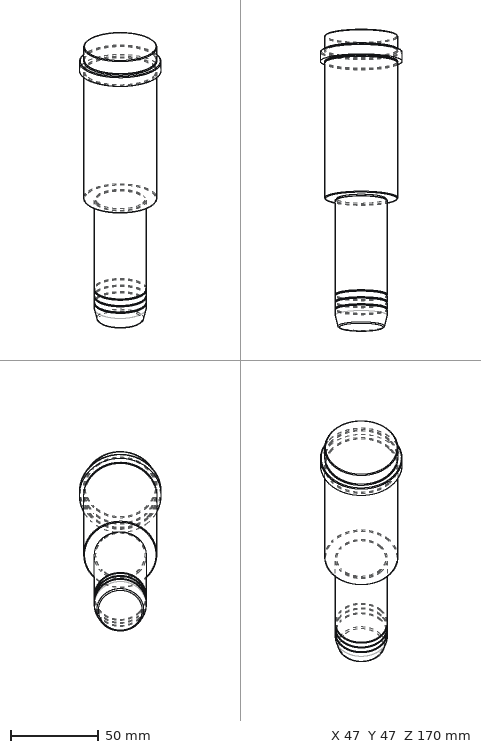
import cadquery as cq

total_length = 170.0
flange_top = total_length - 9.0
flange_bottom = total_length - 15.0
body_bottom = total_length - 95.0
neck_length = 1.0
tip_length = 7.0

flange_diameter = 47.0
body_diameter = 42.0
shank_diameter = 30.0
neck_diameter = 28.2
tip_diameter = 26.5

top_chamfer = 0.5
flange_chamfer = 0.5
body_chamfer = 0.5
tip_chamfer = 0.7

relief_width = 1.0
relief_depth = 0.5

ring_groove_count = 3
ring_groove_pitch = 4.0
ring_groove_width = 0.8
ring_groove_depth = 0.3
lowest_ring_groove = 10.5


def cylinder(diameter, bottom, top):
    """Solid cylinder on the Z axis between two heights."""
    return cq.Workplane("XY").workplane(offset=bottom).circle(diameter / 2).extrude(top - bottom)


def ring_cutter(outer_diameter, depth, bottom, width):
    """Ring that cuts a V-shaped groove into a cylinder of the given diameter."""
    radius = outer_diameter / 2
    groove_profile = [(radius, bottom), (radius - depth, bottom + width / 2), (radius, bottom + width)]
    return cq.Workplane("XZ").polyline(groove_profile).close().revolve(360, (0, 0), (0, 1))


def make_tip():
    """Tapered lead-in with a chamfered lower edge."""
    return (
        cq.Workplane("XY")
        .circle(tip_diameter / 2)
        .workplane(offset=tip_length)
        .circle(shank_diameter / 2)
        .loft(ruled=True)
        .faces("<Z")
        .chamfer(tip_chamfer)
    )


def make_shank():
    """Plain shank with ring grooves, joined to the body by a narrower neck."""
    neck_bottom = body_bottom - neck_length
    shank = cylinder(shank_diameter, tip_length, neck_bottom)
    for index in range(ring_groove_count):
        bottom = lowest_ring_groove + index * ring_groove_pitch - ring_groove_width / 2
        shank = shank.cut(ring_cutter(shank_diameter, ring_groove_depth, bottom, ring_groove_width))
    return shank.union(cylinder(neck_diameter, neck_bottom, body_bottom))


def make_body():
    """Large cylinder with chamfered ends and a relief groove on each side of the flange."""
    body = cylinder(body_diameter, body_bottom, total_length)
    body = body.faces(">Z").chamfer(top_chamfer).faces("<Z").chamfer(body_chamfer)
    for bottom in (flange_top, flange_bottom - relief_width):
        body = body.cut(ring_cutter(body_diameter, relief_depth, bottom, relief_width))
    return body


def make_flange():
    """Collar with a chamfered upper edge."""
    return cylinder(flange_diameter, flange_bottom, flange_top).faces(">Z").chamfer(flange_chamfer)


result = make_tip().union(make_shank()).union(make_body()).union(make_flange())